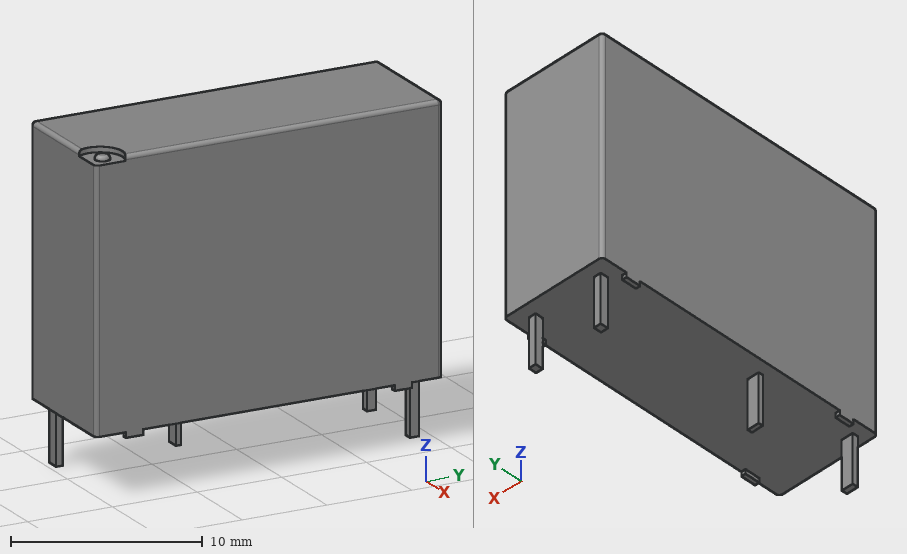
import cadquery as cq

case_width = 7.2
case_length = 20.5
overall_height = 18.72
pin_length = 3.42
case_height = overall_height - pin_length
edge_radius = 0.25

foot_width = 0.3
foot_length = 1.02
foot_height = 0.3
foot_spacing = 15.87

pin_row_x = 2.38
contact_pin_width = 0.8
end_contact_thickness = 0.39
inner_contact_thickness = 0.3
coil_pin_width = 0.5
coil_pin_thickness = 0.53
end_contact_y = -9.4
inner_contact_y = -2.38
coil_pin_y = 9.1
pin_embed = 0.2

recess_x = 2.91
recess_y = -9.61
recess_radius = 1.31
recess_depth = 0.3
button_x = 2.75
button_y = -9.39
button_diameter = 0.82
button_height = 0.27
button_rounding = 0.25


def make_case():
    """Block with rounded upright edges and a rounded top rim."""
    block = cq.Workplane("XY").box(case_width, case_length, case_height, centered=(True, True, False))
    return block.edges("|Z or >Z").fillet(edge_radius)


def make_recess():
    """Round pocket tool, cut down from the top and open at the case corner."""
    floor = case_height - recess_depth
    disc = cq.Workplane("XY", origin=(recess_x, recess_y, floor)).circle(recess_radius).extrude(recess_depth)
    corner_x = case_width / 2 - recess_x
    corner_y = -case_length / 2 - recess_y
    corner = (
        cq.Workplane("XY", origin=(recess_x, recess_y, floor))
        .rect(2 * corner_x, 2 * corner_y)
        .extrude(recess_depth)
    )
    return disc.union(corner)


def make_button():
    """Button standing on the recess floor, rounded down to a small flat top."""
    floor = case_height - recess_depth
    button = cq.Workplane("XY", origin=(button_x, button_y, floor)).circle(button_diameter / 2)
    return button.extrude(button_height).faces(">Z").edges().fillet(button_rounding)


def make_feet():
    """Four low pads flush with the long sides of the case."""
    return (
        cq.Workplane("XY")
        .rarray(case_width - foot_width, foot_spacing, 2, 2)
        .rect(foot_width, foot_length)
        .extrude(-foot_height)
    )


def make_pin(x, y, width, thickness):
    """Rectangular pin hanging below the case, rooted a little way inside it."""
    root = cq.Workplane("XY", origin=(x, y, pin_embed))
    return root.rect(width, thickness).extrude(-(pin_length + pin_embed))


result = make_case().cut(make_recess()).union(make_button()).union(make_feet())

pins = [
    (-pin_row_x, end_contact_y, contact_pin_width, end_contact_thickness),
    (-pin_row_x, inner_contact_y, contact_pin_width, inner_contact_thickness),
    (-pin_row_x, coil_pin_y, coil_pin_width, coil_pin_thickness),
    (pin_row_x, coil_pin_y, coil_pin_width, coil_pin_thickness),
]
for pin in pins:
    result = result.union(make_pin(*pin))